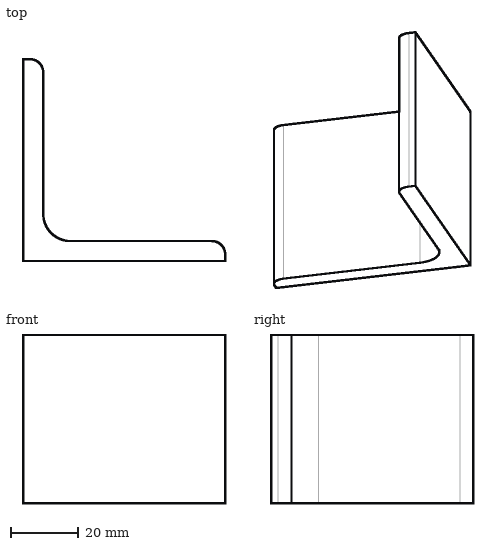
import cadquery as cq

leg_length = 60.0
leg_thickness = 6.0
bar_length = 50.0
root_radius = 8.0
toe_radius = 4.0


def angle_blank():
    """Sharp-cornered L section with its outer corner on the Z axis."""
    return (
        cq.Workplane("XY")
        .moveTo(0, 0)
        .lineTo(leg_length, 0)
        .lineTo(leg_length, leg_thickness)
        .lineTo(leg_thickness, leg_thickness)
        .lineTo(leg_thickness, leg_length)
        .lineTo(0, leg_length)
        .close()
        .extrude(bar_length)
    )


def round_edge(body, x, y, radius):
    """Round the lengthwise edge that passes nearest to (x, y)."""
    edge_middle = (x, y, bar_length / 2)
    return body.edges(cq.selectors.NearestToPointSelector(edge_middle)).fillet(radius)


result = angle_blank()
result = round_edge(result, leg_thickness, leg_thickness, root_radius)
result = round_edge(result, leg_length, leg_thickness, toe_radius)
result = round_edge(result, leg_thickness, leg_length, toe_radius)